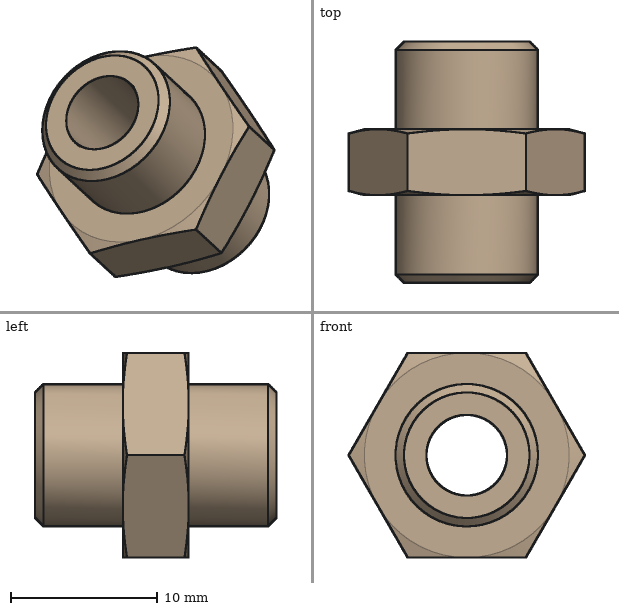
import cadquery as cq
import math

total_length = 16.5
hex_across_flats = 14.0
hex_width = 4.5
hex_chamfer_angle = 15.0
barrel_diameter = 9.74
end_chamfer = 0.58
bore_diameter = 5.5

hex_across_corners = hex_across_flats / math.cos(math.radians(30))
corner_overhang = (hex_across_corners - hex_across_flats) / 2
corner_drop = corner_overhang * math.tan(math.radians(hex_chamfer_angle))


def cylinder_along_y(diameter, length):
    """Cylinder centred on the origin."""
    return cq.Workplane("XZ").circle(diameter / 2).extrude(length / 2, both=True)


def chamfered_hexagon():
    """Hexagon with corners on X, its corners turned down by a shallow cone on both faces."""
    prism = cq.Workplane("XZ").polygon(6, hex_across_corners).extrude(hex_width / 2, both=True)
    flat_radius = hex_across_flats / 2
    corner_radius = hex_across_corners / 2
    half_width = hex_width / 2
    turned_envelope = (
        cq.Workplane("XY")
        .moveTo(0, -half_width)
        .lineTo(flat_radius, -half_width)
        .lineTo(corner_radius, -half_width + corner_drop)
        .lineTo(corner_radius, half_width - corner_drop)
        .lineTo(flat_radius, half_width)
        .lineTo(0, half_width)
        .close()
        .revolve(360, (0, 0, 0), (0, 1, 0))
    )
    return prism.intersect(turned_envelope)


barrel = cylinder_along_y(barrel_diameter, total_length).faces("<Y or >Y").chamfer(end_chamfer)
bore = cylinder_along_y(bore_diameter, total_length)

result = barrel.union(chamfered_hexagon()).cut(bore)